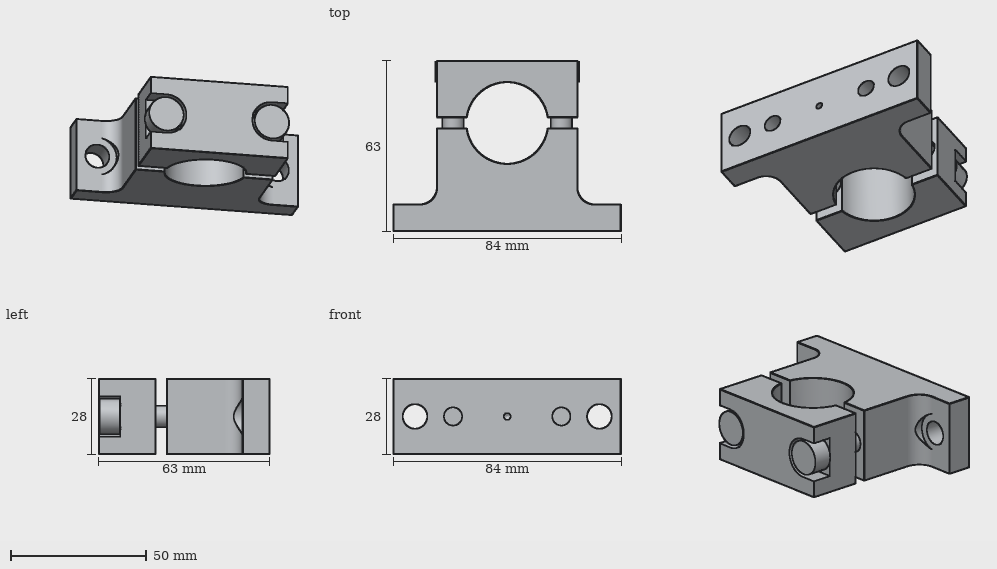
import cadquery as cq
import math

foot_length = 84.0
thickness = 28.0
total_depth = 63.0

block_width = 52.0
foot_depth = 10.0
foot_fillet = 6.2
edge_chamfer = 0.2
outer_faces = "<X or >X or <Y or >Y or <Z or >Z"

bore_diameter = 30.0
bore_y = 40.0
gap = 4.0
base_end_y = bore_y - gap / 2
cap_start_y = bore_y + gap / 2

bolt_spacing = 40.0
bolt_places = (-bolt_spacing / 2, bolt_spacing / 2)
shank_diameter = 8.0
shank_length = 40.0
head_diameter = 13.0
head_height = 7.4
head_lift = 0.25
clearance_diameter = 9.5
pilot_diameter = 6.7
slot_width = 15.0
slot_depth = 8.0
seat_y = total_depth - slot_depth
head_start_y = seat_y + head_lift
shank_end_y = head_start_y - shank_length

mount_spacing = 68.0
mount_places = (-mount_spacing / 2, mount_spacing / 2)
mount_diameter = 9.0
spot_face_diameter = 14.5

centre_hole_diameter = 2.5
centre_hole_depth = 4.0
drill_point_angle = 118.0


def rod(x, diameter, start_y, end_y):
    """Cylinder along Y at mid thickness."""
    return cq.Workplane("XZ", origin=(x, start_y, 0)).circle(diameter / 2).extrude(start_y - end_y)


def slab(width, start_y, end_y):
    """Full-thickness block centred on X and Z."""
    depth = end_y - start_y
    return cq.Workplane("XY").box(width, depth, thickness).translate((0, start_y + depth / 2, 0))


def shaft_bore():
    return (
        cq.Workplane("XY", origin=(0, bore_y, -thickness / 2))
        .circle(bore_diameter / 2)
        .extrude(thickness)
    )


def centre_hole():
    """Drilled hole with a conical bottom, revolved about Y."""
    radius = centre_hole_diameter / 2
    point_depth = radius / math.tan(math.radians(drill_point_angle / 2))
    return (
        cq.Workplane("XY")
        .polyline(
            [
                (0, 0),
                (radius, 0),
                (radius, centre_hole_depth),
                (0, centre_hole_depth + point_depth),
            ]
        )
        .close()
        .revolve(360, (0, 0, 0), (0, 1, 0))
    )


def make_base():
    base = slab(foot_length, 0, foot_depth).union(slab(block_width, 0, base_end_y))
    for corner_x in (-block_width / 2, block_width / 2):
        corner = cq.selectors.NearestToPointSelector((corner_x, foot_depth, 0))
        base = base.edges("|Z").edges(corner).fillet(foot_fillet)
    base = base.cut(shaft_bore())
    base = base.faces(outer_faces).edges().chamfer(edge_chamfer)
    for x in mount_places:
        base = base.cut(rod(x, mount_diameter, 0, foot_depth))
        base = base.cut(rod(x, spot_face_diameter, foot_depth, foot_depth + foot_fillet))
    for x in bolt_places:
        base = base.cut(rod(x, pilot_diameter, 0, shank_end_y))
        base = base.cut(rod(x, shank_diameter, shank_end_y, base_end_y))
    return base.cut(centre_hole())


def head_slot(x):
    """Slot for a bolt head: rounded on the inner side and open through the outer side of the cap."""
    slot = rod(x, slot_width, seat_y, total_depth)
    run_length = block_width / 2
    run = cq.Workplane("XY").box(run_length, slot_depth, slot_width)
    run_x = x + math.copysign(run_length / 2, x)
    return slot.union(run.translate((run_x, seat_y + slot_depth / 2, 0)))


def make_cap():
    cap = slab(block_width, cap_start_y, total_depth).cut(shaft_bore())
    cap = cap.faces(outer_faces).edges().chamfer(edge_chamfer)
    for x in bolt_places:
        cap = cap.cut(head_slot(x))
        cap = cap.cut(rod(x, clearance_diameter, cap_start_y, seat_y))
    return cap


def make_bolt(x):
    """Clamp bolt with a plain cylindrical head just clear of the slot floor."""
    shank = rod(x, shank_diameter, shank_end_y, head_start_y)
    head = rod(x, head_diameter, head_start_y, head_start_y + head_height)
    return shank.union(head)


base = make_base()
cap = make_cap()
bolts = [make_bolt(x) for x in bolt_places]

result = cq.Compound.makeCompound([base.val(), cap.val(), *[bolt.val() for bolt in bolts]])